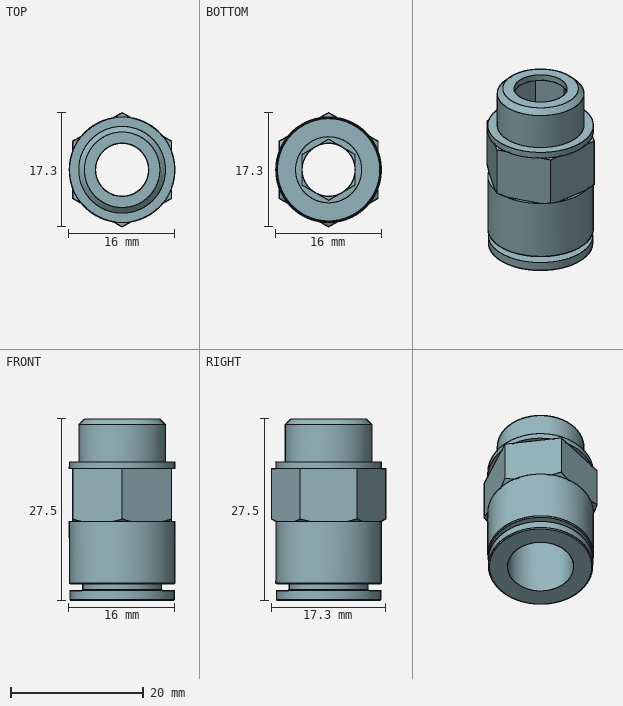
import cadquery as cq
import math

ring_top = 1.5
neck_flare = 0.16
body_bottom = 2.5
body_top = 12.0
hex_top = 20.0
collar_top = 21.0
total_height = 27.5

ring_diameter = 15.8
neck_diameter = 12.0
body_diameter = 16.0
thread_diameter = 13.15
edge_chamfer = 0.16
thread_chamfer = 0.85

hex_flats = 15.0
hex_chamfer_angle = 30.0

tube_diameter = 10.0
tube_depth = body_top
key_flats = 8.0
mouth_diameter = key_flats
mouth_depth = 1.0


def cylinder(diameter, bottom, top):
    return cq.Workplane("XY").workplane(offset=bottom).circle(diameter / 2).extrude(top - bottom)


def hexagon(flats, bottom, top):
    corner_diameter = flats / math.cos(math.radians(30))
    return (
        cq.Workplane("XY")
        .workplane(offset=bottom)
        .transformed(rotate=(0, 0, 90))
        .polygon(6, corner_diameter)
        .extrude(top - bottom)
    )


def release_ring():
    """Flanged ring whose neck flares slightly where it meets the flange."""
    flange = cylinder(ring_diameter, 0, ring_top).faces("<Z").chamfer(edge_chamfer)
    neck = cylinder(neck_diameter, ring_top, body_bottom)
    flare = cq.Solid.makeCone(
        neck_diameter / 2 + neck_flare, neck_diameter / 2, neck_flare, pnt=cq.Vector(0, 0, ring_top)
    )
    return flange.union(neck).union(cq.Workplane(flare))


def chamfered_hexagon():
    """Wrench hexagon with its lower corners trimmed by a cone."""
    height = hex_top - body_top
    spread = height / math.tan(math.radians(hex_chamfer_angle))
    cone = cq.Solid.makeCone(
        body_diameter / 2, body_diameter / 2 + spread, height, pnt=cq.Vector(0, 0, body_top)
    )
    return hexagon(hex_flats, body_top, hex_top).intersect(cq.Workplane(cone))


def passage():
    """Through passage from the tube socket to the threaded end."""
    mouth_bottom = total_height - mouth_depth
    tube_socket = cylinder(tube_diameter, 0, tube_depth)
    key_socket = hexagon(key_flats, tube_depth, mouth_bottom)
    mouth = cylinder(mouth_diameter, mouth_bottom, total_height)
    return tube_socket.union(key_socket).union(mouth)


body = cylinder(body_diameter, body_bottom, body_top).faces("<Z").chamfer(edge_chamfer)
collar = cylinder(body_diameter, hex_top, collar_top)
thread = cylinder(thread_diameter, collar_top, total_height).faces(">Z").chamfer(thread_chamfer)

result = (
    release_ring()
    .union(body)
    .union(chamfered_hexagon())
    .union(collar)
    .union(thread)
    .cut(passage())
)